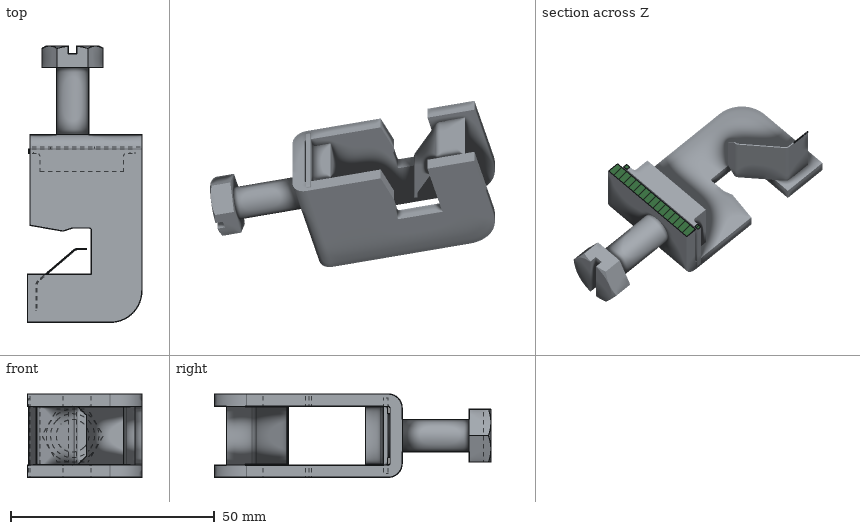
import cadquery as cq
import math


body_width = 20.5
body_right = 28.1
body_left = 0.6
body_top = 46.05
strap_thickness = 3.05
outer_bend_radius = 3.45
inner_bend_radius = outer_bend_radius - strap_thickness
foot_corner_radius = 7.8
gap_width = body_width - 2 * strap_thickness
web_inner_y = body_top - strap_thickness

insert_side_clearance = 0.15
insert_width = gap_width - 2 * insert_side_clearance

jaw_depth_x = 15.6
foot_top = 11.9
jaw_roof = 23.1
jaw_roof_radius = 0.4
tooth_left_y = 23.8
tooth_tip = (8.7, 22.4)
tooth_right_x = 11.0

screw_x = 11.05
screw_top = 67.8
shank_diameter = 8.0
head_height = 5.35
head_across_flats = 13.0
head_across_corners = head_across_flats / math.cos(math.radians(30))
head_face_diameter = 12.9
head_chamfer_angle = 30.0
slot_width = 2.05
slot_depth = 1.9

plate_left = 0.3
plate_right = 26.4
plate_top = 42.5
plate_thickness = 1.1
plate_bottom = plate_top - plate_thickness
plate_end_length = 1.2
stop_bar_width = 18.6
stop_bar_depth = 0.7
stop_bar_radius = 0.55
block_left = 3.05
block_right = 23.5
block_bottom = 37.0
block_fillet = 0.75
collar_diameter = 10.8

spring_left = 2.1
spring_thickness = 0.3
spring_bottom = 2.9
spring_ear_top = 7.6
spring_bend_start = 9.2
spring_bend_radius = 1.5
spring_knee_radius = 1.2
spring_slope = 40.5
spring_top = 18.1
spring_tab_end = 14.5
spring_tab_taper = 2.1


def centred_prism(profile, width):
    """Extrude an XY profile by the given width, half to each side of Z = 0."""
    return profile.extrude(width / 2, both=True)


def box_between(x_min, x_max, y_min, y_max, width):
    """Box given by its X and Y limits and a width centred on Z = 0."""
    profile = cq.Workplane("XY").moveTo((x_min + x_max) / 2, (y_min + y_max) / 2)
    return centred_prism(profile.rect(x_max - x_min, y_max - y_min), width)


def screw_axis_plane(y):
    """Work plane across the screw axis, facing along +Y."""
    return cq.Workplane(cq.Plane(origin=(screw_x, y, 0), xDir=(1, 0, 0), normal=(0, 1, 0)))


def make_body():
    outline = (
        cq.Workplane("XY")
        .moveTo(0, 0)
        .lineTo(body_right, 0)
        .lineTo(body_right, body_top)
        .lineTo(body_left, body_top)
        .lineTo(body_left, tooth_left_y)
        .lineTo(*tooth_tip)
        .lineTo(tooth_right_x, jaw_roof)
        .lineTo(jaw_depth_x - jaw_roof_radius, jaw_roof)
        .radiusArc((jaw_depth_x, jaw_roof - jaw_roof_radius), jaw_roof_radius)
        .lineTo(jaw_depth_x, foot_top)
        .lineTo(0, foot_top)
        .close()
    )
    body = centred_prism(outline, body_width)
    body = body.edges(cq.selectors.NearestToPointSelector((body_right, 0, 0))).fillet(foot_corner_radius)
    body = body.faces(">Y").edges("|X").fillet(outer_bend_radius)
    overrun = body_right
    gap = box_between(-overrun, body_right + overrun, -overrun, web_inner_y, gap_width)
    gap = gap.faces(">Y").edges("|X").fillet(inner_bend_radius)
    return body.cut(gap)


def make_screw():
    head_bottom = screw_top - head_height
    head = screw_axis_plane(head_bottom).polygon(6, head_across_corners).extrude(head_height)
    face_radius = head_face_diameter / 2
    cone_base_radius = face_radius + head_height / math.tan(math.radians(head_chamfer_angle))
    cone = (
        cq.Workplane("XY")
        .moveTo(screw_x, head_bottom)
        .lineTo(screw_x + cone_base_radius, head_bottom)
        .lineTo(screw_x + face_radius, screw_top)
        .lineTo(screw_x, screw_top)
        .close()
        .revolve(360, (screw_x, 0, 0), (screw_x, 1, 0))
    )
    slot = box_between(
        screw_x - slot_width / 2,
        screw_x + slot_width / 2,
        screw_top - slot_depth,
        screw_top,
        head_across_corners,
    )
    shank = screw_axis_plane(block_bottom).circle(shank_diameter / 2).extrude(head_bottom - block_bottom)
    return head.intersect(cone).cut(slot).union(shank)


def make_nut_plate():
    profile = (
        cq.Workplane("XY")
        .moveTo(plate_left, plate_top)
        .lineTo(plate_left, plate_bottom)
        .lineTo(block_left - block_fillet, plate_bottom)
        .radiusArc((block_left, plate_bottom - block_fillet), block_fillet)
        .lineTo(block_left, block_bottom)
        .lineTo(block_right, block_bottom)
        .lineTo(block_right, plate_bottom - block_fillet)
        .radiusArc((block_right + block_fillet, plate_bottom), block_fillet)
        .lineTo(plate_right, plate_bottom)
        .lineTo(plate_right, plate_top)
        .close()
    )
    plate = centred_prism(profile, insert_width)
    for end_left in (plate_left, plate_right - plate_end_length):
        plate = plate.union(
            box_between(end_left, end_left + plate_end_length, plate_bottom, plate_top, gap_width)
        )
    stop_bar = box_between(
        plate_left, plate_left + stop_bar_depth, plate_bottom, plate_top, stop_bar_width
    )
    stop_bar = stop_bar.faces("<X").edges("|Y").fillet(stop_bar_radius)
    collar = screw_axis_plane(plate_bottom).circle(collar_diameter / 2).extrude(web_inner_y - plate_bottom)
    return plate.union(stop_bar).union(collar)


def make_spring():
    slope = math.radians(spring_slope)
    turn = math.pi / 2 - slope
    bend_end_x = spring_left + spring_bend_radius * (1 - math.cos(turn))
    bend_end_y = spring_bend_start + spring_bend_radius * math.sin(turn)
    knee_start_y = spring_top - spring_knee_radius * (1 - math.cos(slope))
    knee_start_x = bend_end_x + (knee_start_y - bend_end_y) / math.tan(slope)
    knee_end_x = knee_start_x + spring_knee_radius * math.sin(slope)
    lower_dx = spring_thickness * math.sin(slope)
    lower_dy = -spring_thickness * math.cos(slope)
    tab_underside = spring_top - spring_thickness
    inner_left = spring_left + spring_thickness
    profile = (
        cq.Workplane("XY")
        .moveTo(spring_left, spring_bottom)
        .lineTo(spring_left, spring_bend_start)
        .radiusArc((bend_end_x, bend_end_y), spring_bend_radius)
        .lineTo(knee_start_x, knee_start_y)
        .radiusArc((knee_end_x, spring_top), spring_knee_radius)
        .lineTo(spring_tab_end, spring_top)
        .lineTo(spring_tab_end, tab_underside)
        .lineTo(knee_end_x, tab_underside)
        .radiusArc(
            (knee_start_x + lower_dx, knee_start_y + lower_dy),
            -(spring_knee_radius - spring_thickness),
        )
        .lineTo(bend_end_x + lower_dx, bend_end_y + lower_dy)
        .radiusArc((inner_left, spring_bend_start), -(spring_bend_radius - spring_thickness))
        .lineTo(inner_left, spring_bottom)
        .close()
    )
    spring = centred_prism(profile, insert_width)
    spring = spring.faces(">X").edges("|Y").chamfer(spring_tab_taper)
    ears = box_between(spring_left, inner_left, spring_bottom, spring_ear_top, gap_width)
    return spring.union(ears)


result = make_body().union(make_screw()).union(make_nut_plate()).union(make_spring())